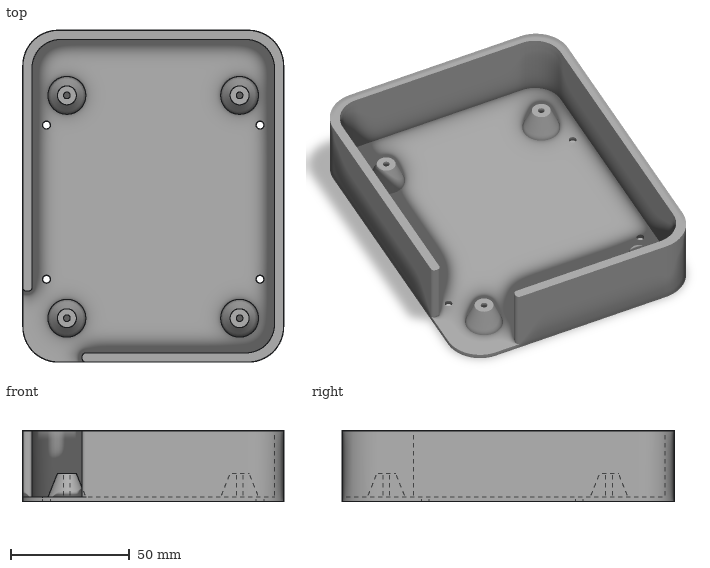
import cadquery as cq

width = 110.0
length = 140.0
height = 30.0
wall = 3.9
floor = 2.0
outer_corner_radius = 15.0
inner_corner_radius = 12.0

opening_x = 25.0
opening_y = 30.0
wall_end_radius = 1.5

standoff_top_z = 11.9
standoff_base_diameter = 16.0
standoff_top_diameter = 8.0
standoff_bore_diameter = 2.8
standoff_spacing_x = 72.8
standoff_spacing_y = 94.0
standoff_center_y = -4.5

floor_hole_diameter = 3.2
floor_hole_spacing_x = 90.0
floor_hole_spacing_y = 65.0
floor_hole_center_y = -2.5

wall_height = height - floor
standoff_height = standoff_top_z - floor


def rounded_block(size_x, size_y, size_z, radius):
    block = cq.Workplane("XY").box(size_x, size_y, size_z, centered=(True, True, False))
    return block.edges("|Z").fillet(radius)


def four_points(spacing_x, spacing_y, center_y):
    return [
        (side_x * spacing_x / 2, center_y + side_y * spacing_y / 2)
        for side_x in (-1, 1)
        for side_y in (-1, 1)
    ]


def make_walls():
    """Rim open at one corner, with both free ends rounded."""
    outside = rounded_block(width, length, wall_height, outer_corner_radius)
    inside = rounded_block(width - 2 * wall, length - 2 * wall, wall_height, inner_corner_radius)
    opening = (
        cq.Workplane("XY")
        .box(opening_x, opening_y, wall_height, centered=False)
        .translate((-width / 2, -length / 2, 0))
    )
    rim = outside.cut(inside).cut(opening)

    front_end_x = -width / 2 + opening_x
    left_end_y = -length / 2 + opening_y
    end_corners = [
        (front_end_x, -length / 2),
        (front_end_x, -length / 2 + wall),
        (-width / 2, left_end_y),
        (-width / 2 + wall, left_end_y),
    ]
    for x, y in end_corners:
        nearest_edge = cq.selectors.NearestToPointSelector((x, y, wall_height / 2))
        rim = rim.edges("|Z").edges(nearest_edge).fillet(wall_end_radius)
    return rim.translate((0, 0, floor))


def make_standoff(x, y):
    """Cone standing on the floor, bored down to the floor surface."""
    cone = cq.Solid.makeCone(standoff_base_diameter / 2, standoff_top_diameter / 2, standoff_height)
    bore = cq.Solid.makeCylinder(standoff_bore_diameter / 2, standoff_height)
    return cone.cut(bore).translate(cq.Vector(x, y, floor))


tray = rounded_block(width, length, floor, outer_corner_radius).union(make_walls())

for x, y in four_points(standoff_spacing_x, standoff_spacing_y, standoff_center_y):
    tray = tray.union(cq.Workplane(obj=make_standoff(x, y)))

floor_holes = (
    cq.Workplane("XY")
    .pushPoints(four_points(floor_hole_spacing_x, floor_hole_spacing_y, floor_hole_center_y))
    .circle(floor_hole_diameter / 2)
    .extrude(floor)
)
result = tray.cut(floor_holes)